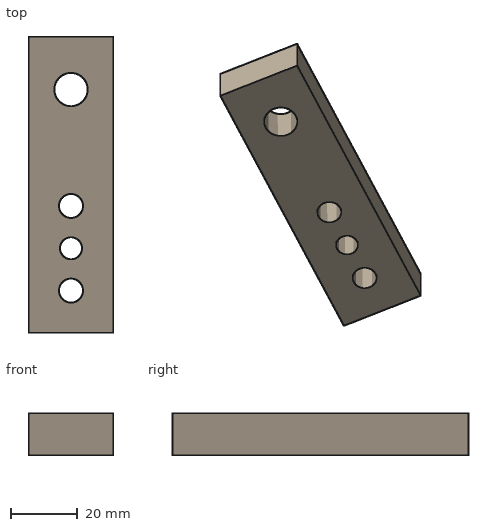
import cadquery as cq

width = 25.4
length = 88.9
thickness = 12.7

row_pitch = 12.7
outer_hole_diameter = 7.14
middle_hole_diameter = 6.53

large_hole_diameter = 9.92
large_hole_end_distance = 15.875


def make_bar():
    """Plain rectangular bar."""
    return cq.Workplane("XY").box(width, length, thickness, centered=(True, False, False))


def drill_through(body, y, diameter):
    """Cut a vertical through hole on the bar's centreline."""
    drill = cq.Workplane("XY").center(0, y).circle(diameter / 2).extrude(thickness)
    return body.cut(drill)


result = make_bar()

row_diameters = (outer_hole_diameter, middle_hole_diameter, outer_hole_diameter)
for position, hole_diameter in enumerate(row_diameters, start=1):
    result = drill_through(result, position * row_pitch, hole_diameter)

result = drill_through(result, length - large_hole_end_distance, large_hole_diameter)